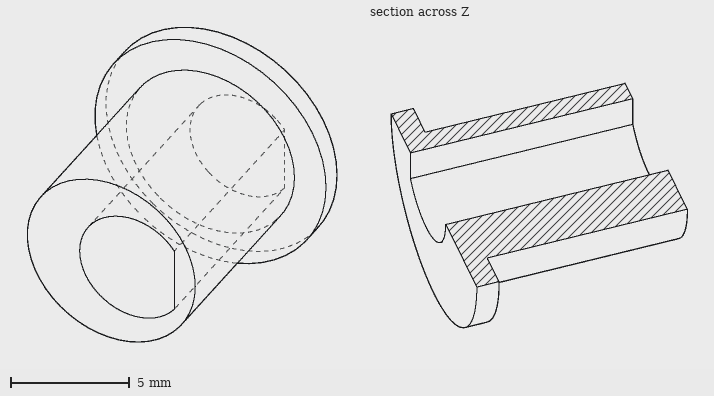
import cadquery as cq

flange_diameter = 11.0
flange_thickness = 1.0
barrel_diameter = 8.0
total_length = 9.9
bore_diameter = 5.0
bore_offset = 1.0
flat_distance = 2.0


def cylinder_along_y(diameter, length):
    """Cylinder on the Y axis, from Y = 0 towards +Y."""
    return cq.Workplane("XZ").circle(diameter / 2).extrude(-length)


def d_bore():
    """Cutter for the eccentric through bore, with its flat on the +X side."""
    round_bore = cylinder_along_y(bore_diameter, total_length)
    keep_width = bore_diameter / 2 + flat_distance
    keep_box = cq.Workplane("XY").box(
        keep_width, total_length, bore_diameter, centered=(False, False, True)
    ).translate((-bore_diameter / 2, 0, 0))
    return round_bore.intersect(keep_box).translate((bore_offset, 0, 0))


barrel = cylinder_along_y(barrel_diameter, total_length)
flange = cylinder_along_y(flange_diameter, flange_thickness).translate(
    (0, total_length - flange_thickness, 0)
)

result = barrel.union(flange).cut(d_bore())